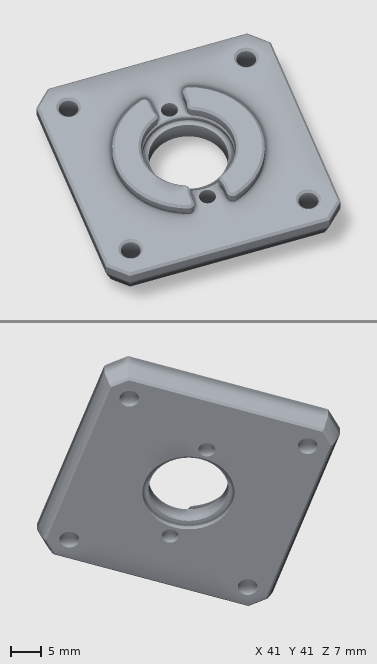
import cadquery as cq

plate_side = 41.0
corner_cut = 3.08
plate_height = 5.1
top_chamfer = 0.4
straight_bottom = 2.83
taper_bottom = 0.35
taper_inset = 1.0
bottom_chamfer_inset = 1.35

screw_spacing = 31.08
screw_diameter = 3.3
screw_chamfer = 0.4

bore_diameter = 13.2
recess_diameter = 15.2
recess_depth = 1.0
recess_chamfer = 0.2
recess_ledge = 0.05

pin_diameter = 2.8
pin_offset = 9.5

total_height = 7.0
pad_height = total_height - plate_height
pad_outer_diameter = 25.2
pad_inner_diameter = recess_diameter + 2 * recess_chamfer + 2 * recess_ledge
pad_half_gap = 2.9
pad_chamfer = 0.4
pad_outer_fillet = 1.0
pad_inner_fillet = 1.0


def plate_outline(inset):
    """Closed wire of the cut-corner square, moved inward by inset."""
    half = plate_side / 2
    cut = half - corner_cut
    points = [
        (cut, half), (half, cut), (half, -cut), (cut, -half),
        (-cut, -half), (-half, -cut), (-half, cut), (-cut, half),
    ]
    outline = cq.Workplane().polyline(points).close()
    if inset:
        outline = outline.offset2D(-inset)
    return outline.val()


def plate_layer(bottom, top, bottom_inset, top_inset):
    """Slice of the plate whose outline changes evenly with height."""
    lower = plate_outline(bottom_inset).translate(cq.Vector(0, 0, bottom))
    upper = plate_outline(top_inset).translate(cq.Vector(0, 0, top))
    return cq.Workplane(cq.Solid.makeLoft([lower, upper], True))


def make_plate():
    chamfer_start = plate_height - top_chamfer
    plate = plate_layer(0, taper_bottom, bottom_chamfer_inset, taper_inset)
    plate = plate.union(plate_layer(taper_bottom, straight_bottom, taper_inset, 0))
    plate = plate.union(plate_layer(straight_bottom, chamfer_start, 0, 0))
    return plate.union(plate_layer(chamfer_start, plate_height, 0, top_chamfer))


def make_pad():
    """Pad on the +Y side, its ends hollowed around the pin holes."""
    ring = (
        cq.Workplane()
        .workplane(offset=plate_height)
        .circle(pad_outer_diameter / 2)
        .circle(pad_inner_diameter / 2)
        .extrude(pad_height)
    )
    base = cq.Workplane().workplane(offset=plate_height)
    lower_half = base.rect(plate_side, plate_side).extrude(pad_height)
    pad = ring.cut(lower_half.translate((0, -plate_side / 2, 0)))
    for side in (-1, 1):
        clearance = base.center(side * pin_offset, 0).circle(pad_half_gap).extrude(pad_height)
        end_cut = (
            base.center(side * (pin_offset + plate_side / 2), 0)
            .rect(plate_side, 2 * pad_half_gap)
            .extrude(pad_height)
        )
        pad = pad.cut(clearance).cut(end_cut)

    pad = pad.edges("|Z").edges(">X or <X").fillet(pad_outer_fillet)
    pad = pad.edges("|Z").edges("<Y").fillet(pad_inner_fillet)
    return pad.faces(">Z").chamfer(pad_chamfer)


def cut_holes(body):
    top = cq.Workplane().workplane(offset=plate_height)
    screw_holes = (
        top.rect(screw_spacing, screw_spacing, forConstruction=True)
        .vertices()
        .circle(screw_diameter / 2)
        .extrude(-plate_height)
    )
    pin_holes = (
        top.pushPoints([(-pin_offset, 0), (pin_offset, 0)])
        .circle(pin_diameter / 2)
        .extrude(-plate_height)
    )
    bore = top.circle(bore_diameter / 2).extrude(-plate_height)
    recess = top.circle(recess_diameter / 2).extrude(-recess_depth)
    bottom_recess = cq.Workplane().circle(recess_diameter / 2).extrude(recess_depth)
    body = body.cut(screw_holes).cut(pin_holes).cut(bore)
    body = body.cut(recess).cut(bottom_recess)

    rims = body.faces(">Z").edges("%CIRCLE")
    body = rims.edges(cq.selectors.RadiusNthSelector(1)).chamfer(screw_chamfer)
    recess_rim = body.faces(">Z").edges("%CIRCLE").edges(cq.selectors.RadiusNthSelector(-1))
    return recess_rim.chamfer(recess_chamfer)


pad = make_pad()
result = cut_holes(make_plate()).union(pad).union(pad.mirror("XZ"))